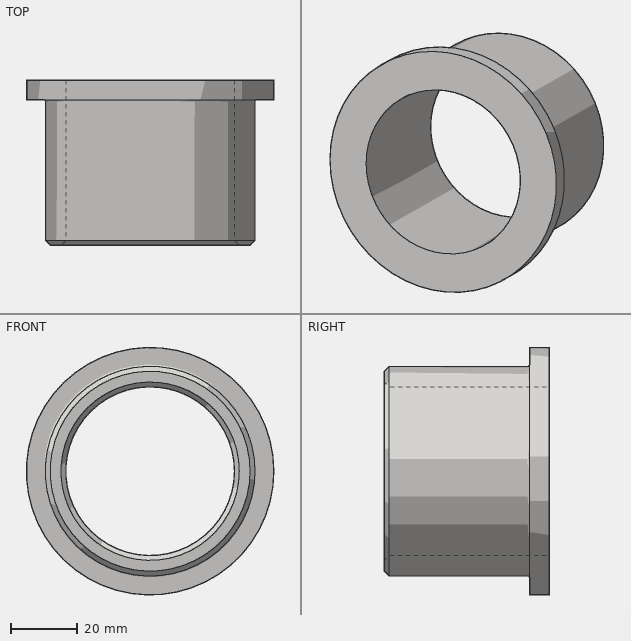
import cadquery as cq

flange_diameter = 75.0
barrel_diameter = 63.5
bore_diameter = 51.0
total_length = 50.0
flange_thickness = 6.0
end_chamfer = 1.5
root_fillet = 0.5

flange_radius = flange_diameter / 2
barrel_radius = barrel_diameter / 2
bore_radius = bore_diameter / 2
barrel_end = -total_length / 2
flange_back = total_length / 2
flange_front = flange_back - flange_thickness

section = (
    cq.Workplane("XY")
    .moveTo(bore_radius + end_chamfer, barrel_end)
    .lineTo(barrel_radius - end_chamfer, barrel_end)
    .lineTo(barrel_radius, barrel_end + end_chamfer)
    .lineTo(barrel_radius, flange_front - root_fillet)
    .radiusArc((barrel_radius + root_fillet, flange_front), root_fillet)
    .lineTo(flange_radius, flange_front)
    .lineTo(flange_radius, flange_back)
    .lineTo(bore_radius, flange_back)
    .lineTo(bore_radius, barrel_end + end_chamfer)
    .close()
)

result = section.revolve(360, (0, 0, 0), (0, 1, 0))